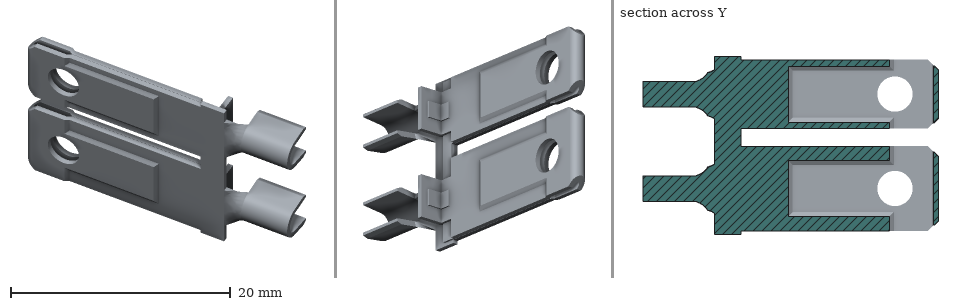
import cadquery as cq
import math


sheet = 0.5
rise = 0.25
layer_gap = 0.03
base_y = rise
base_top_y = base_y + sheet
layer_y = base_top_y + layer_gap
layer_top_y = layer_y + sheet
mid_y = base_top_y + layer_gap / 2
fold_radius = mid_y

length = 26.97
barrel_start_x = 22.2
plate_end_x = 20.45
slot_end_x = 18.0
plate_height = 16.25

upper_center_z = 12.8
lower_center_z = 4.2
upper_width = 6.3
lower_width = 7.77
nose_chamfer_x = 1.0
nose_chamfer_z = 0.95
hole_x = 3.96
hole_diameter = 3.2

head_end_x = 4.07
slope_run = 0.4
pad_end_x = 13.7
pad_width = 5.1

flange_x = 19.53
flange_top_y = 3.7
flange_width = 4.15
flange_notch_x = 17.67
bend_radius = 0.4
strip_top_y = 1.0
stiffener_start_x = 17.85
stiffener_top_y = 2.95
stiffener_height = 0.15
stiffener_width = 1.56

barrel_radius = 1.62
barrel_width = 3.61
barrel_top_y = 3.85
bevel_start_y = 3.35
lip_width = 3.24
wall_angle = math.radians(6.5)
neck_width = 4.48

overlap = 0.13


def box(x_range, y_range, z_center, z_width):
    """Axis-aligned block, centred on z_center."""
    size_x = x_range[1] - x_range[0]
    size_y = y_range[1] - y_range[0]
    block = cq.Workplane("XY").box(size_x, size_y, z_width, centered=(False, False, True))
    return block.translate((x_range[0], y_range[0], z_center))


def prism(sketch, z_center, z_width):
    """Extrude an XY outline evenly to both sides of z_center."""
    return sketch.extrude(z_width / 2, both=True).translate((0, 0, z_center))


def head(nose_radius, z_center, width):
    """Blade head, round at the nose and sloping down to the flat part of the layers."""
    nose_x = fold_radius - nose_radius
    low_half = nose_radius - rise
    slope_end_x = head_end_x + slope_run
    outline = (
        cq.Workplane("XY")
        .moveTo(head_end_x, mid_y - nose_radius)
        .lineTo(fold_radius, mid_y - nose_radius)
        .threePointArc((nose_x, mid_y), (fold_radius, mid_y + nose_radius))
        .lineTo(head_end_x, mid_y + nose_radius)
        .lineTo(slope_end_x, mid_y + low_half)
        .lineTo(slope_end_x, mid_y - low_half)
        .close()
    )
    return prism(outline, z_center, width)


def pads(offset, z_center):
    """Pair of tapered pads rising from planes at +/- offset from the mid plane."""
    start_x = hole_x - hole_diameter / 2
    pad_length = pad_end_x - start_x
    taper = math.degrees(math.atan(slope_run / rise))
    pad = (
        cq.Workplane("XZ", origin=((start_x + pad_end_x) / 2, mid_y - offset, z_center))
        .rect(pad_length, pad_width)
        .extrude(rise, taper=taper)
    )
    return pad, pad.mirror("XZ", (0, mid_y, 0))


def blade(z_center, width):
    """Folded double-layer blade with raised pads, hollow behind them, and a mounting hole."""
    solid = head(fold_radius, z_center, width)
    solid = solid.union(box((head_end_x, flange_notch_x), (base_y, layer_top_y), z_center, width))
    for pad in pads(mid_y - base_y, z_center):
        solid = solid.union(pad)
    solid = solid.cut(head(fold_radius - sheet, z_center, width))
    solid = solid.cut(box((head_end_x, flange_notch_x), (base_top_y, layer_y), z_center, width))
    for cavity in pads(layer_gap / 2, z_center):
        solid = solid.cut(cavity)

    hole = (
        cq.Workplane("XZ", origin=(hole_x, 0, z_center))
        .circle(hole_diameter / 2)
        .extrude(-2 * mid_y)
    )
    solid = solid.cut(hole)

    for side in (-1, 1):
        edge_z = z_center + side * width / 2
        corner = (
            cq.Workplane("XZ")
            .polyline([(0, edge_z), (nose_chamfer_x, edge_z), (0, edge_z - side * nose_chamfer_z)])
            .close()
            .extrude(-2 * mid_y)
        )
        solid = solid.cut(corner)
    return solid


def flange(z_center):
    """Upright tongue bent from the folded-over layer, with an L-shaped stiffener in its corner."""
    inner_x = flange_x - sheet
    outline = (
        cq.Workplane("XY")
        .moveTo(flange_notch_x - overlap, layer_y)
        .lineTo(flange_x - bend_radius, layer_y)
        .radiusArc((flange_x, layer_y + bend_radius), -bend_radius)
        .lineTo(flange_x, flange_top_y)
        .lineTo(inner_x, flange_top_y)
        .lineTo(inner_x, layer_top_y)
        .lineTo(flange_notch_x - overlap, layer_top_y)
        .close()
    )
    tongue = prism(outline, z_center, flange_width)
    foot_y = (layer_top_y, layer_top_y + stiffener_height)
    foot = box((stiffener_start_x, inner_x), foot_y, z_center, stiffener_width)
    upright_x = (inner_x - stiffener_height, inner_x)
    upright = box(upright_x, (layer_top_y, stiffener_top_y), z_center, stiffener_width)
    return tongue.union(foot).union(upright)


barrel_center_y = base_y + barrel_radius


def round_end(radius):
    """Point (half width, y) where the barrel's round bottom meets its leaning wall."""
    return radius * math.cos(wall_angle), barrel_center_y - radius * math.sin(wall_angle)


outer_end = round_end(barrel_radius)
inner_end = round_end(barrel_radius - sheet)


def barrel(z_center):
    """Open U-shaped crimp barrel with leaning walls and bevelled lips."""
    inner_lip_z = inner_end[0] + (barrel_top_y - inner_end[1]) * math.tan(wall_angle)
    inner_z, inner_y = inner_end
    outer_z, outer_y = outer_end
    outline = (
        cq.Workplane("YZ", origin=(barrel_start_x, 0, z_center))
        .moveTo(barrel_top_y, inner_lip_z)
        .lineTo(barrel_top_y, lip_width / 2)
        .lineTo(bevel_start_y, barrel_width / 2)
        .lineTo(outer_y, outer_z)
        .threePointArc((base_y, 0), (outer_y, -outer_z))
        .lineTo(bevel_start_y, -barrel_width / 2)
        .lineTo(barrel_top_y, -lip_width / 2)
        .lineTo(barrel_top_y, -inner_lip_z)
        .lineTo(inner_y, -inner_z)
        .threePointArc((base_y + sheet, 0), (inner_y, inner_z))
        .close()
    )
    return outline.extrude(length - barrel_start_x)


def neck_edges(x, z_center, outer_corner, outer_base_y, inner_corner, inner_base_y):
    """Closed loop of four edges: outer curve, end, inner curve, end. Corners are (half width, y)."""

    def point(half_width, y):
        return cq.Vector(x, y, z_center + half_width)

    def curve(corner, bottom_y):
        half_width, y = corner
        ends = point(half_width, y), point(-half_width, y)
        if y == bottom_y:
            return cq.Edge.makeLine(*ends)
        return cq.Edge.makeThreePointArc(ends[0], point(0, bottom_y), ends[1])

    def end(side):
        outer_z, outer_y = outer_corner
        inner_z, inner_y = inner_corner
        return cq.Edge.makeLine(point(side * outer_z, outer_y), point(side * inner_z, inner_y))

    return [curve(outer_corner, outer_base_y), end(-1), curve(inner_corner, inner_base_y), end(1)]


def neck(z_center):
    """Sheet neck changing from the flat plate end to the round bottom of the barrel."""
    half_width = neck_width / 2
    flat_end = neck_edges(
        plate_end_x, z_center, (half_width, base_y), base_y, (half_width, base_top_y), base_top_y
    )
    round_bottom = neck_edges(barrel_start_x, z_center, outer_end, base_y, inner_end, base_top_y)
    faces = [cq.Face.makeRuledSurface(flat, curved) for flat, curved in zip(flat_end, round_bottom)]
    for edges in (flat_end, round_bottom):
        faces.append(cq.Face.makeFromWires(cq.Wire.assembleEdges(edges)))
    return cq.Workplane(cq.Solid.makeSolid(cq.Shell.makeShell(faces)))


result = box((slot_end_x, plate_end_x), (base_y, base_top_y), plate_height / 2, plate_height)

for center_z, blade_width in ((upper_center_z, upper_width), (lower_center_z, lower_width)):
    result = result.union(blade(center_z, blade_width))
    for y_range in ((base_y, base_top_y), (layer_y, strip_top_y)):
        result = result.union(box((flange_notch_x, slot_end_x), y_range, center_z, blade_width))
    result = result.union(flange(center_z))
    result = result.union(neck(center_z)).union(barrel(center_z))

strip_bottom_z = lower_center_z - lower_width / 2
strip_top_z = upper_center_z + upper_width / 2
strip = box(
    (slot_end_x, flange_x - bend_radius),
    (layer_y, strip_top_y),
    (strip_bottom_z + strip_top_z) / 2,
    strip_top_z - strip_bottom_z,
)
result = result.union(strip)